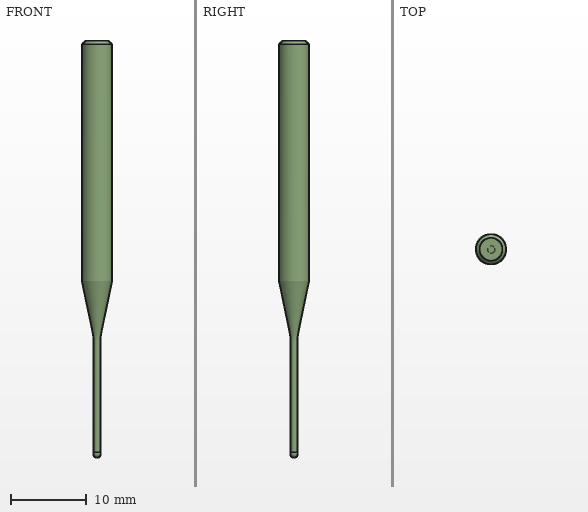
import cadquery as cq

TOTAL_LENGTH = 55.0
SHANK_RADIUS = 4.0 / 2
END_CHAMFER = 0.5
BALL_RADIUS = 0.5
HEAD_LENGTH = 0.75
NECK_RADIUS = 0.47

NECK_TOP = 15.5
FLARE_TOP = 16.0
COLLAR_TOP = 16.9
TAPER_TOP = 23.3

FLARE_RADIUS = 0.5
COLLAR_RADIUS = 0.65


def make_cutting_head():
    """Ball-nosed head: a hemisphere below a short cylinder."""
    arc_middle = BALL_RADIUS * 0.5 ** 0.5
    profile = (
        cq.Workplane("XZ")
        .moveTo(0, 0)
        .threePointArc((arc_middle, BALL_RADIUS - arc_middle), (BALL_RADIUS, BALL_RADIUS))
        .lineTo(BALL_RADIUS, HEAD_LENGTH)
        .lineTo(0, HEAD_LENGTH)
        .close()
    )
    return profile.revolve(360, (0, 0, 0), (0, 1, 0))


def make_holder():
    """Neck, flare, collar, taper and chamfered shank turned as one piece."""
    profile = (
        cq.Workplane("XZ")
        .moveTo(0, HEAD_LENGTH)
        .lineTo(NECK_RADIUS, HEAD_LENGTH)
        .lineTo(NECK_RADIUS, NECK_TOP)
        .lineTo(FLARE_RADIUS, FLARE_TOP)
        .lineTo(COLLAR_RADIUS, COLLAR_TOP)
        .lineTo(SHANK_RADIUS, TAPER_TOP)
        .lineTo(SHANK_RADIUS, TOTAL_LENGTH - END_CHAMFER)
        .lineTo(SHANK_RADIUS - END_CHAMFER, TOTAL_LENGTH)
        .lineTo(0, TOTAL_LENGTH)
        .close()
    )
    return profile.revolve(360, (0, 0, 0), (0, 1, 0))


cutting_head = make_cutting_head()
holder = make_holder()

result = cq.Compound.makeCompound([cutting_head.val(), holder.val()])